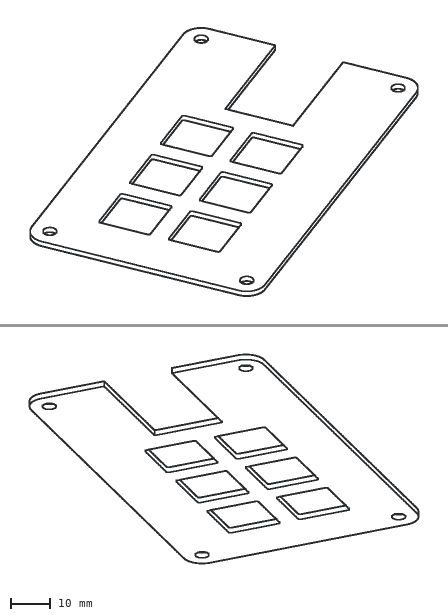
import cadquery as cq

plate_width = 63.9
plate_length = 103.7
plate_thickness = 1.5
corner_radius = 5.0

screw_hole_diameter = 3.4
screw_spacing_x = plate_width - 2 * corner_radius
screw_spacing_y = plate_length - 2 * corner_radius

notch_width = 18.6
notch_depth = 31.0
notch_center_x = 0.4

key_columns = 2
key_rows = 3
key_size = 14.0
key_pitch = 19.1
key_corner_radius = 0.5
key_grid_center = (-0.9, -12.1)


def make_plate():
    blank = cq.Workplane("XY").rect(plate_width, plate_length).extrude(plate_thickness)
    return blank.edges("|Z").fillet(corner_radius)


def make_screw_holes():
    return (
        cq.Workplane("XY")
        .rect(screw_spacing_x, screw_spacing_y, forConstruction=True)
        .vertices()
        .circle(screw_hole_diameter / 2)
        .extrude(plate_thickness)
    )


def make_notch():
    notch_center_y = (plate_length - notch_depth) / 2
    return (
        cq.Workplane("XY")
        .center(notch_center_x, notch_center_y)
        .rect(notch_width, notch_depth)
        .extrude(plate_thickness)
    )


def make_key_openings():
    openings = (
        cq.Workplane("XY")
        .center(*key_grid_center)
        .rarray(key_pitch, key_pitch, key_columns, key_rows)
        .rect(key_size, key_size)
        .extrude(plate_thickness)
    )
    return openings.edges("|Z").fillet(key_corner_radius)


result = (
    make_plate()
    .cut(make_screw_holes())
    .cut(make_notch())
    .cut(make_key_openings())
)